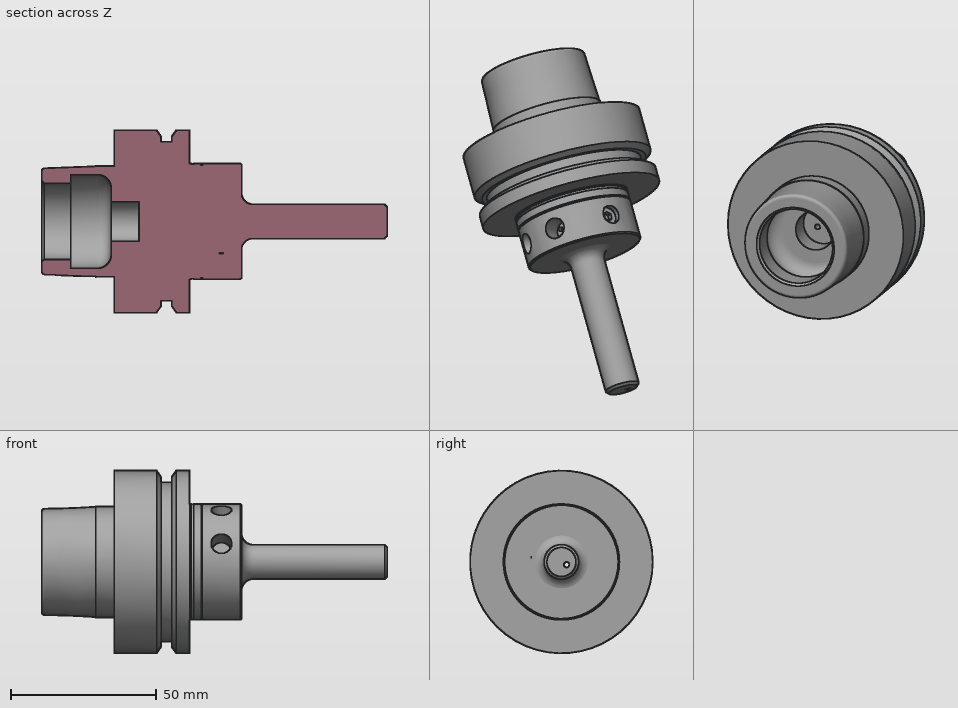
import cadquery as cq
import math


taper_end_x = 18.7
flange_start_x = 25.0
flange_end_x = 50.9
collar_end_x = 68.9
fillet_end_x = 72.8
total_length = 119.0

gauge_radius = 19.0
tip_radius = 18.3
seat_radius = 19.2
flange_radius = 63.0 / 2
collar_radius = 20.0
shank_radius = 6.0
neck_radius = 9.0

rim_round = 1.2
collar_chamfer = 0.5
shank_chamfer = 1.0

groove_center_x = 43.0
groove_width = 3.6
groove_mouth_width = 6.8
groove_bevel_depth = 2.3
groove_floor_radius = 27.5

collar_grooves = [(51.9, 0.8, 0.1), (55.1, 0.5, 0.5)]

bore_radius = 13.1
bore_chamfer = 0.8
bore_cylinder_end_x = 10.1
recess_radius = 16.1
bore_floor_x = 23.9
bore_floor_round = 4.6
inner_hole_radius = 6.8
inner_hole_depth = 9.5

passage_diameter = 1.8
passage_y = 1.8
passage_z = -1.0

radial_holes_x = 61.9
lower_hole_angle = 18.5
upper_hole_angle = lower_hole_angle + 45
screw_angle = 124.5
balance_hole_diameter = 7.0
balance_hole_floor_radius = 10.4
floor_drill_diameter = 1.4
floor_drill_depth = 2.4
floor_drill_axial_offset = -1.4
floor_drill_side_offset = -2.0
screw_diameter = 6.4
screw_face_radius = 17.8
socket_corner_diameter = 3.3
socket_depth = 1.8


def revolve_about_x(profile):
    return profile.close().revolve(360, (0, 0, 0), (1, 0, 0))


def make_body():
    taper_slope = (gauge_radius - tip_radius) / taper_end_x
    rim_radius = tip_radius + taper_slope * rim_round
    arc_mid = rim_round * (1 - math.sqrt(0.5))
    fillet_length = fillet_end_x - collar_end_x
    fillet_rise = neck_radius - shank_radius
    fillet_radius = (fillet_length**2 + fillet_rise**2) / (2 * fillet_rise)
    half_angle = math.asin(fillet_length / fillet_radius) / 2
    fillet_mid = (
        fillet_end_x - fillet_radius * math.sin(half_angle),
        shank_radius + fillet_radius * (1 - math.cos(half_angle)),
    )
    profile = (
        cq.Workplane("XY")
        .moveTo(0, 0)
        .lineTo(0, rim_radius - rim_round)
        .threePointArc((arc_mid, rim_radius - arc_mid), (rim_round, rim_radius))
        .lineTo(taper_end_x, gauge_radius)
        .lineTo(taper_end_x, seat_radius)
        .lineTo(flange_start_x, seat_radius)
        .lineTo(flange_start_x, flange_radius)
        .lineTo(flange_end_x, flange_radius)
        .lineTo(flange_end_x, collar_radius)
        .lineTo(collar_end_x - collar_chamfer, collar_radius)
        .lineTo(collar_end_x, collar_radius - collar_chamfer)
        .lineTo(collar_end_x, neck_radius)
        .threePointArc(fillet_mid, (fillet_end_x, shank_radius))
        .lineTo(total_length - shank_chamfer, shank_radius)
        .lineTo(total_length, shank_radius - shank_chamfer)
        .lineTo(total_length, 0)
    )
    return revolve_about_x(profile)


def make_gripper_groove():
    half_floor = groove_width / 2
    half_mouth = groove_mouth_width / 2
    bevel_radius = flange_radius - groove_bevel_depth
    profile = (
        cq.Workplane("XY")
        .moveTo(groove_center_x - half_floor, groove_floor_radius)
        .lineTo(groove_center_x - half_floor, bevel_radius)
        .lineTo(groove_center_x - half_mouth, flange_radius)
        .lineTo(groove_center_x + half_mouth, flange_radius)
        .lineTo(groove_center_x + half_floor, bevel_radius)
        .lineTo(groove_center_x + half_floor, groove_floor_radius)
    )
    return revolve_about_x(profile)


def make_collar_groove(center_x, width, depth):
    ring = cq.Workplane("YZ", origin=(center_x - width / 2, 0, 0))
    return ring.circle(collar_radius).circle(collar_radius - depth).extrude(width)


def make_hollow():
    arc_mid = bore_floor_round * (1 - math.sqrt(0.5))
    inner_hole_end_x = bore_floor_x + inner_hole_depth
    profile = (
        cq.Workplane("XY")
        .moveTo(0, 0)
        .lineTo(0, bore_radius + bore_chamfer)
        .lineTo(bore_chamfer, bore_radius)
        .lineTo(bore_cylinder_end_x, bore_radius)
        .lineTo(bore_cylinder_end_x, recess_radius)
        .lineTo(bore_floor_x - bore_floor_round, recess_radius)
        .threePointArc(
            (bore_floor_x - arc_mid, recess_radius - arc_mid),
            (bore_floor_x, recess_radius - bore_floor_round),
        )
        .lineTo(bore_floor_x, inner_hole_radius)
        .lineTo(inner_hole_end_x, inner_hole_radius)
        .lineTo(inner_hole_end_x, 0)
    )
    return revolve_about_x(profile)


def make_passage():
    start = cq.Workplane("YZ", origin=(bore_floor_x, passage_y, passage_z))
    return start.circle(passage_diameter / 2).extrude(total_length - bore_floor_x)


def radial_plane(angle, radius):
    """Plane across a radial hole, its normal pointing outwards and its local x along +X."""
    outward_y = -math.cos(math.radians(angle))
    outward_z = math.sin(math.radians(angle))
    origin = (radial_holes_x, radius * outward_y, radius * outward_z)
    return cq.Workplane(cq.Plane(origin=origin, xDir=(1, 0, 0), normal=(0, outward_y, outward_z)))


def make_radial_hole(angle, diameter, floor_radius):
    return radial_plane(angle, floor_radius).circle(diameter / 2).extrude(collar_radius - floor_radius)


def make_floor_drill():
    return (
        radial_plane(upper_hole_angle, balance_hole_floor_radius)
        .center(floor_drill_axial_offset, floor_drill_side_offset)
        .circle(floor_drill_diameter / 2)
        .extrude(-floor_drill_depth)
    )


def make_screw_socket():
    return radial_plane(screw_angle, screw_face_radius).polygon(6, socket_corner_diameter).extrude(-socket_depth)


result = make_body().cut(make_gripper_groove()).cut(make_hollow()).cut(make_passage())

for center_x, width, depth in collar_grooves:
    result = result.cut(make_collar_groove(center_x, width, depth))

for angle in (lower_hole_angle, upper_hole_angle):
    result = result.cut(make_radial_hole(angle, balance_hole_diameter, balance_hole_floor_radius))

result = result.cut(make_floor_drill())
result = result.cut(make_radial_hole(screw_angle, screw_diameter, screw_face_radius))
result = result.cut(make_screw_socket())